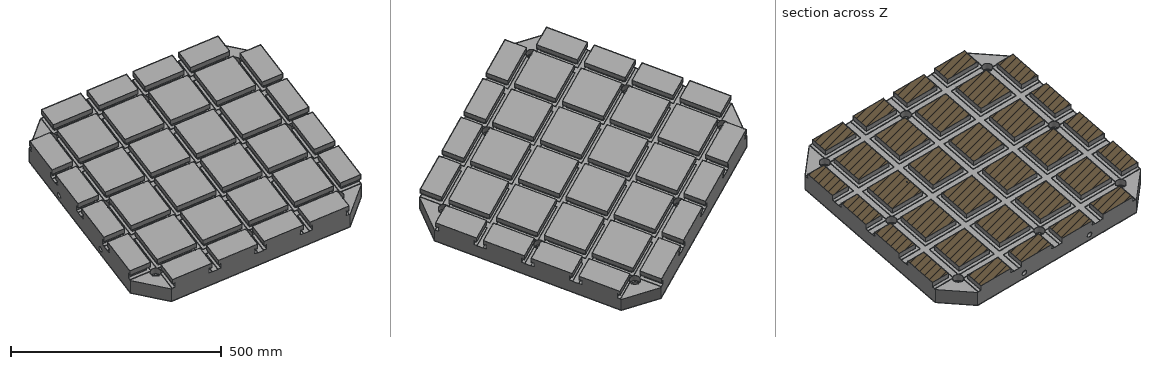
import cadquery as cq

side = 630.0
height = 75.0
corner_chamfer = 71.0

slot_pitch = 125.0
neck_width = 17.5
head_width = 32.0
head_top_depth = 16.0
head_floor_depth = 29.5
relief_width = 16.0
relief_floor_depth = 31.0
slot_positions = [i * slot_pitch for i in range(-2, 3)]
outer_slot = slot_positions[-1]

mounting_diameter = 18.0
counterbore_diameter = 26.0
counterbore_floor_depth = 50.5

lifting_diameter = 14.0
lifting_depth = 30.0
lifting_tip_depth = 4.1
lifting_spacing = 200.0
lifting_height = 17.5


def make_plate():
    """Square plate with bevelled corners, sitting on Z = 0."""
    plate = cq.Workplane("XY").box(side, side, height, centered=(True, True, False))
    return plate.edges("|Z").chamfer(corner_chamfer)


def channel(width, top_depth, floor_depth):
    """Straight rectangular channel along Y, centred on X = 0."""
    return (
        cq.Workplane("XY")
        .workplane(offset=height - floor_depth)
        .rect(width, side)
        .extrude(floor_depth - top_depth)
    )


def cut_t_slots(plate):
    """Cut the crossing grid of T-slots with a relief groove in each floor."""
    neck = channel(neck_width, 0, head_top_depth)
    head = channel(head_width, head_top_depth, head_floor_depth)
    relief = channel(relief_width, head_floor_depth, relief_floor_depth)
    t_slot = neck.union(head).union(relief)
    for position in slot_positions:
        along_y = t_slot.translate((position, 0, 0))
        along_x = along_y.rotate((0, 0, 0), (0, 0, 1), 90)
        plate = plate.cut(along_y).cut(along_x)
    return plate


def cut_corner_steps(plate):
    """Lower each corner, outside the outer slots, to the relief groove floor."""
    step_size = side / 2 - (outer_slot - relief_width / 2)
    step_centre = (side - step_size) / 2
    corners = [(x, y) for x in (-step_centre, step_centre) for y in (-step_centre, step_centre)]
    steps = (
        cq.Workplane("XY")
        .workplane(offset=height - relief_floor_depth)
        .pushPoints(corners)
        .rect(step_size, step_size)
        .extrude(relief_floor_depth)
    )
    return plate.cut(steps)


def cut_mounting_holes(plate):
    """Drill the eight through holes and counterbore them from the top."""
    lines = (-outer_slot, 0, outer_slot)
    points = [(x, y) for x in lines for y in lines if (x, y) != (0, 0)]
    holes = cq.Workplane("XY").pushPoints(points).circle(mounting_diameter / 2).extrude(height)
    counterbores = (
        cq.Workplane("XY")
        .workplane(offset=height - counterbore_floor_depth)
        .pushPoints(points)
        .circle(counterbore_diameter / 2)
        .extrude(counterbore_floor_depth)
    )
    return plate.cut(holes).cut(counterbores)


def cut_lifting_holes(plate):
    """Drill the two blind holes with conical tips into the -Y side."""
    radius = lifting_diameter / 2
    drill = (
        cq.Workplane("XY")
        .polyline([
            (0, 0),
            (radius, 0),
            (radius, lifting_depth),
            (0, lifting_depth + lifting_tip_depth),
        ])
        .close()
        .revolve(360, (0, 0, 0), (0, 1, 0))
    )
    for x in (-lifting_spacing / 2, lifting_spacing / 2):
        plate = plate.cut(drill.translate((x, -side / 2, lifting_height)))
    return plate


plate = make_plate()
plate = cut_t_slots(plate)
plate = cut_corner_steps(plate)
plate = cut_mounting_holes(plate)
result = cut_lifting_holes(plate)